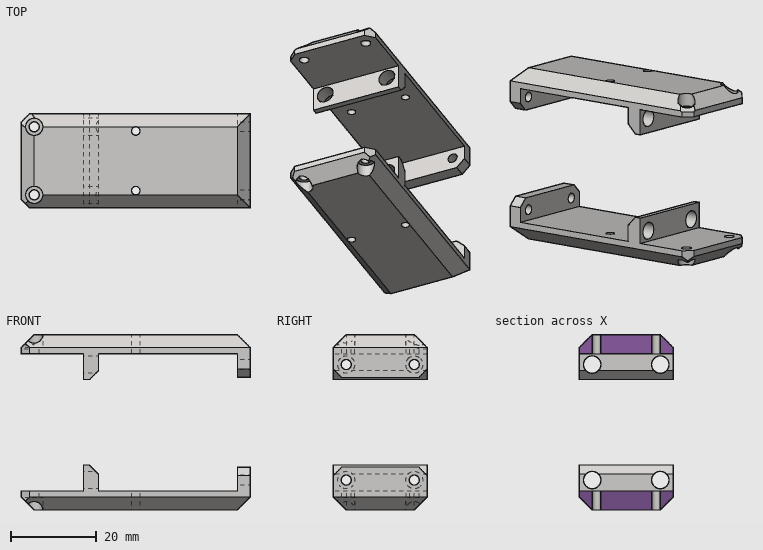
import cadquery as cq

length = 53.5
width = 22.0
height = 41.0

plate_thickness = 4.5
bevel = 3.05
corner_chamfer = 2.0

facet_start_z = 1.2
facet_slope = 0.8

front_wall_x = 14.5
front_wall_thickness = 3.6
front_wall_height = 6.05
front_wall_chamfer = 2.15
end_wall_thickness = 3.05
end_wall_height = 5.5
end_wall_chamfer = 2.0

screw_diameter = 2.3
head_diameter = 4.0
head_depth = 3.0
pin_diameter = 1.9
pin_x = length / 2
pin_y = 6.95
screw_x = bevel
screw_y = width / 2 - bevel
wall_hole_height = 2.5



def make_plate():
    """Rectangular plate with all outer edges bevelled and the two front corners cut off."""
    plate = cq.Workplane("XY").box(length, width, plate_thickness, centered=(False, True, False))
    plate = plate.faces(">Z").edges().chamfer(bevel)
    for side in (-1, 1):
        edge_y = side * width / 2
        corner = (
            cq.Workplane("XY")
            .moveTo(0, edge_y)
            .lineTo(corner_chamfer, edge_y)
            .lineTo(0, edge_y - side * corner_chamfer)
            .close()
            .extrude(plate_thickness)
        )
        plate = plate.cut(corner)
    return plate


def make_front_wall():
    """Full-width wall with a chamfer on the free edge of its rear face."""
    wall = cq.Workplane("XY").box(
        front_wall_thickness, width, front_wall_height, centered=(False, True, False)
    )
    wall = wall.edges("<Z and >X").chamfer(front_wall_chamfer)
    return wall.translate((front_wall_x, 0, -front_wall_height))


def make_end_wall():
    """Full-width wall at the rear end, with its two free corners chamfered."""
    wall = cq.Workplane("XY").box(
        end_wall_thickness, width, end_wall_height, centered=(False, True, False)
    )
    wall = wall.faces("<Z").edges("|X").chamfer(end_wall_chamfer)
    return wall.translate((length - end_wall_thickness, 0, -end_wall_height))


def drill_plate(x, y, diameter, start_z=0.0):
    """Vertical cutter from start_z out through the outer face."""
    return (
        cq.Workplane("XY", origin=(x, y, start_z))
        .circle(diameter / 2)
        .extrude(plate_thickness - start_z)
    )


def drill_wall(x, y, diameter, thickness):
    """Lengthwise cutter through a cross wall whose front face is at x."""
    return (
        cq.Workplane("YZ", origin=(x, y, -wall_hole_height))
        .circle(diameter / 2)
        .extrude(thickness)
    )


def make_shell():
    """Plate with two cross walls, counterbored screw holes, pin holes and wall holes."""
    shell = make_plate().union(make_front_wall()).union(make_end_wall())
    for side in (-1, 1):
        hole_y = side * screw_y
        shell = shell.cut(drill_plate(screw_x, hole_y, screw_diameter))
        shell = shell.cut(drill_plate(screw_x, hole_y, head_diameter, plate_thickness - head_depth))
        shell = shell.cut(drill_plate(pin_x, side * pin_y, pin_diameter))
        shell = shell.cut(drill_wall(front_wall_x, hole_y, head_diameter, front_wall_thickness))
        shell = shell.cut(
            drill_wall(length - end_wall_thickness, hole_y, screw_diameter, end_wall_thickness)
        )
    return shell


def make_facet_cutter():
    """Wedge rising inwards from the cut front corner on the +Y side."""
    rise = plate_thickness - facet_start_z
    corner_middle = (corner_chamfer / 2, width / 2 - corner_chamfer / 2, 0)
    diagonal_plane = cq.Plane(origin=corner_middle, xDir=(1, -1, 0), normal=(-1, -1, 0))
    return (
        cq.Workplane(diagonal_plane)
        .moveTo(0, facet_start_z)
        .lineTo(rise / facet_slope, plate_thickness)
        .lineTo(0, plate_thickness)
        .close()
        .extrude(bevel, both=True)
    )


plate_offset = height / 2 - plate_thickness
upper_shell = make_shell().cut(make_facet_cutter()).translate((0, 0, plate_offset))
lower_shell = make_shell().translate((0, 0, plate_offset)).mirror("XY")

result = cq.Compound.makeCompound([upper_shell.val(), lower_shell.val()])